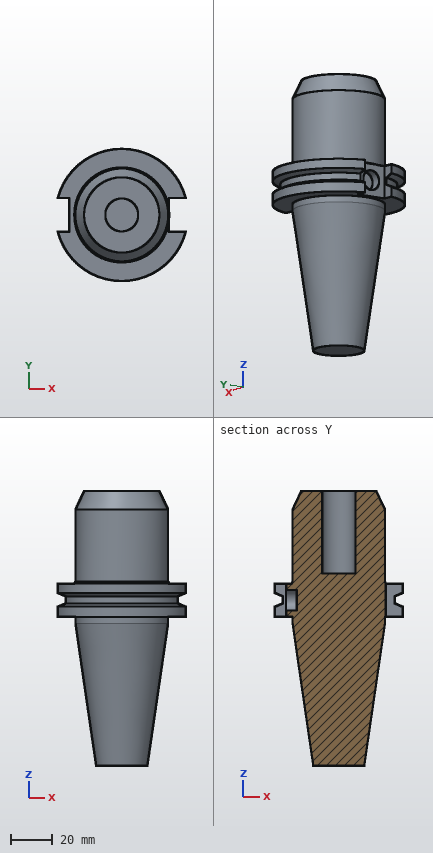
import cadquery as cq

taper_length = 68.2
flange_bottom = 3.2
flange_top = 19.1
nose_top = 63.5
nose_bevel_height = 8.8

gauge_radius = 44.5 / 2
taper_rate = 7 / 24
taper_end_radius = gauge_radius - taper_length * taper_rate / 2

nose_radius = gauge_radius
nose_end_radius = 36.1 / 2
foot_height = 1.0
foot_width = 0.5

flange_radius = 63.5 / 2
groove_radius = 56.3 / 2
groove_floor_bottom = 9.6
groove_floor_top = 13.0
groove_wall_height = 1.6

slot_width = 16.1
slot_floor_minus_x = 25.2
slot_floor_plus_x = 22.5

bore_diameter = 15.8
bore_depth = 39.5
slot_hole_diameter = 9.6
slot_hole_depth = 5.0

flange_height = flange_top - flange_bottom
flange_middle = (flange_top + flange_bottom) / 2


def make_body():
    """Revolve the half profile of taper, flange and nose about Z."""
    profile = [
        (0, -taper_length),
        (taper_end_radius, -taper_length),
        (gauge_radius, 0),
        (gauge_radius, flange_bottom),
        (flange_radius, flange_bottom),
        (flange_radius, groove_floor_bottom - groove_wall_height),
        (groove_radius, groove_floor_bottom),
        (groove_radius, groove_floor_top),
        (flange_radius, groove_floor_top + groove_wall_height),
        (flange_radius, flange_top),
        (nose_radius + foot_width, flange_top),
        (nose_radius, flange_top + foot_height),
        (nose_radius, nose_top - nose_bevel_height),
        (nose_end_radius, nose_top),
        (0, nose_top),
    ]
    return cq.Workplane("XZ").polyline(profile).close().revolve(360, (0, 0), (0, 1))


def make_slot(side, floor):
    """Block that cuts a flat-floored slot through the flange; side is -1 or +1 along X."""
    return (
        cq.Workplane("XY", origin=(side * (floor + flange_radius / 2), 0, flange_middle))
        .box(flange_radius, slot_width, flange_height)
    )


def make_bore():
    """Blind tool bore in the nose end."""
    return (
        cq.Workplane("XY", origin=(0, 0, nose_top - bore_depth))
        .circle(bore_diameter / 2)
        .extrude(bore_depth)
    )


def make_slot_hole():
    """Blind hole in the floor of the -X slot."""
    return (
        cq.Workplane("YZ", origin=(-slot_floor_minus_x, 0, flange_middle))
        .circle(slot_hole_diameter / 2)
        .extrude(slot_hole_depth)
    )


result = (
    make_body()
    .cut(make_slot(-1, slot_floor_minus_x))
    .cut(make_slot(1, slot_floor_plus_x))
    .cut(make_bore())
    .cut(make_slot_hole())
)